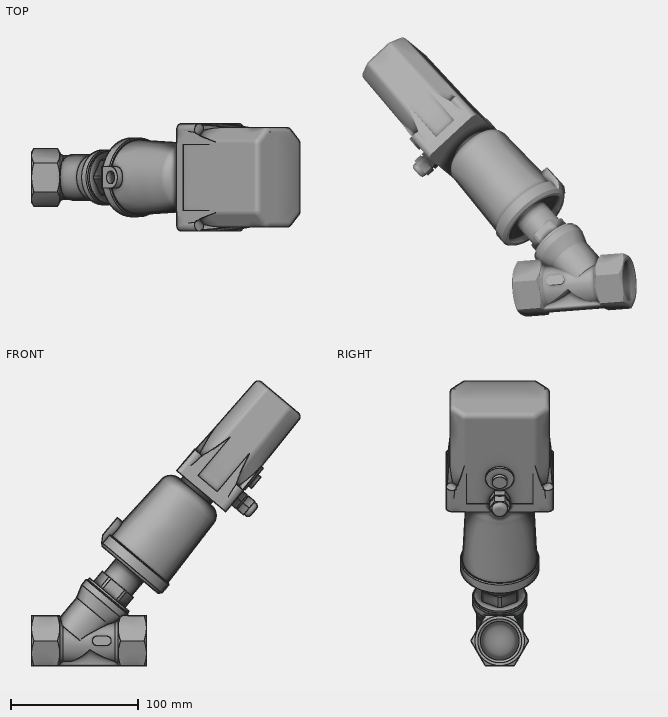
import cadquery as cq
import math


STEM_ANGLE = 50.0
STEM_FOOT_X = 30.5

BODY_LENGTH = 90.1
HEX_FLATS = 39.3
HEX_LENGTH = 22.3
HEX_CHAMFER = 2.0
HEX_END_DIAMETER = 38.8
HEX_END_TAPER = 3.3
CORE_DIAMETER = 34.4
ROOT_DIAMETER = 37.5
ROOT_LENGTH = 2.2
BORE_DIAMETER = 30.3
BORE_DEPTH = HEX_LENGTH
BORE_CHAMFER = 2.0
ARCH_TOP_Z = -7.0
ARCH_X = 45.7
ARCH_LEFT_FOOT = (25.5, -17.2)
ARCH_LEFT_MID = (37.5, -13.4)
ARCH_RIGHT_MID = (54.7, -12.0)
ARCH_RIGHT_FOOT = (64.7, -15.8)
WEB_THICKNESS = 11.2
WEB_EDGE_RADIUS = 1.3
PAD_LENGTH = 14.7
PAD_WIDTH = 7.4
PAD_X = 55.0
PAD_REACH = 19.2
NECK_DIAMETER = 36.1
NECK_START = 5.0
FLARE_START = 29.0
FLARE_END = 39.3
COLLAR_DIAMETER = 43.0
COLLAR_END = 45.5
COLLAR_CHAMFER = 1.0

RING_DIAMETER = 40.5
RING_END = 47.3
NUT_FLATS = 28.8
NUT_CORNER_DIAMETER = 32.0
NUT_END = 57.8
TUBE_DIAMETER = 28.0

FLANGE_START = 72.5
FLANGE_END = 83.9
FLANGE_DIAMETER = 61.8
FLANGE_CHAMFER = 2.2
FLANGE_TOP_CHAMFER = 1.0
RECESS_DIAMETER = 52.0
RECESS_END = 77.5
DOME_BASE_DIAMETER = 58.5
DOME_SHOULDER_DIAMETER = 53.5
DOME_SHOULDER = 141.5
DOME_END = 152.1
DOME_TOP_RADIUS = 17.5
SPIGOT_DIAMETER = 30.3
BOSS_WIDTH = 16.7
BOSS_REACH = 34.0
BOSS_CENTRE = 89.2
BOSS_CHAMFER_END = 79.6
PORT_DIAMETER = 9.8
PORT_DEPTH = 11.2

HEAD_START = 155.5
HEAD_OFFSET = 3.1
HEAD_WIDTH = 84.0
HEAD_DEPTH = 50.2
PLATE_END = 163.3
PLATE_CORNER_RADIUS = 4.7
CASE_WIDTH = 78.0
CASE_BASE_DEPTH = 49.0
CASE_TOP_DEPTH = 45.3
CASE_END = 251.5
CASE_CORNER_CHAMFER = 10.7
CASE_EDGE_RADIUS = 4.5
CASE_TOP_RADIUS = 4.0
POST_END = 177.4
POST_TIP = 205.2
POST_SINK = 0.5
CONE_TIP_RADIUS = 11.2
POST_GAP_WIDTH = 51.8
POST_GAP_DEPTH = 19.6

GLAND_CENTRE = 169.5
GLAND_FLATS = 13.8
GLAND_NECK_DIAMETER = 12.5
GLAND_COLLAR_END = 32.5
GLAND_NUT_START = 34.0
GLAND_NUT_END = 40.4
GLAND_CAP_END = 45.0
GLAND_CAP_RADIUS = 2.7
PLUG_CENTRE = 189.5
PLUG_DISC_DIAMETER = 22.3
PLUG_DISC_END = 28.8
PLUG_KNOB_DIAMETER = 11.5
PLUG_KNOB_CENTRE = 188.3
PLUG_KNOB_END = 32.0

angle = math.radians(STEM_ANGLE)
STEM_FRAME = cq.Plane(
    origin=(STEM_FOOT_X, 0, 0),
    xDir=(math.sin(angle), 0, -math.cos(angle)),
    normal=(math.cos(angle), 0, math.sin(angle)),
)


def on_stem(shape):
    """Move a shape built along local z onto the stem axis."""
    return shape.newObject([shape.val().moved(cq.Location(STEM_FRAME))])


def disc(diameter, start, end):
    return cq.Workplane("XY").workplane(offset=start).circle(diameter / 2).extrude(end - start)


def slab(depth, width, start, end):
    return cq.Workplane("XY").workplane(offset=start).rect(depth, width).extrude(end - start)


def across_corners(flats):
    return flats / math.cos(math.pi / 6)


def hex_end(start):
    """Hexagonal pipe end along X with both ends turned down to a cone."""
    end = start + HEX_LENGTH
    end_radius = HEX_END_DIAMETER / 2
    full_radius = end_radius + HEX_END_TAPER
    prism = (
        cq.Workplane("YZ").workplane(offset=start)
        .polygon(6, across_corners(HEX_FLATS)).extrude(HEX_LENGTH)
    )
    turned = (
        cq.Workplane("XZ")
        .moveTo(start, 0)
        .lineTo(start, end_radius)
        .lineTo(start + HEX_CHAMFER, full_radius)
        .lineTo(end - HEX_CHAMFER, full_radius)
        .lineTo(end, end_radius)
        .lineTo(end, 0)
        .close()
        .revolve(360, (0, 0, 0), (1, 0, 0))
    )
    return prism.intersect(turned)


def core_root(hex_face, direction):
    """Cone that blends a hexagonal end into the round core."""
    return (
        cq.Workplane("YZ").workplane(offset=hex_face).circle(ROOT_DIAMETER / 2)
        .workplane(offset=direction * ROOT_LENGTH).circle(CORE_DIAMETER / 2)
        .loft(ruled=True)
    )


def valve_core():
    """Round core, arched below on both sides of a flat web."""
    left = HEX_LENGTH
    right = BODY_LENGTH - HEX_LENGTH
    length = right - left
    depth = HEX_FLATS / 2
    core = cq.Workplane("YZ").workplane(offset=left).circle(CORE_DIAMETER / 2).extrude(length)
    arch = (
        cq.Workplane("XZ")
        .moveTo(ARCH_LEFT_FOOT[0], -depth)
        .lineTo(*ARCH_LEFT_FOOT)
        .threePointArc(ARCH_LEFT_MID, (ARCH_X, ARCH_TOP_Z))
        .threePointArc(ARCH_RIGHT_MID, ARCH_RIGHT_FOOT)
        .lineTo(ARCH_RIGHT_FOOT[0], -depth)
        .close()
        .extrude(depth, both=True)
    )
    web = (
        cq.Workplane("XY").box(length, WEB_THICKNESS, depth, centered=(False, True, False))
        .edges("|X and <Z").fillet(WEB_EDGE_RADIUS)
        .translate((left, 0, -depth))
    )
    return core.cut(arch).union(web).union(core_root(left, 1)).union(core_root(right, -1))


def valve_neck():
    neck_radius = NECK_DIAMETER / 2
    collar_radius = COLLAR_DIAMETER / 2
    neck = (
        cq.Workplane("XZ")
        .moveTo(0, NECK_START)
        .lineTo(neck_radius, NECK_START)
        .lineTo(neck_radius, FLARE_START)
        .lineTo(collar_radius, FLARE_END)
        .lineTo(collar_radius, COLLAR_END - COLLAR_CHAMFER)
        .lineTo(collar_radius - COLLAR_CHAMFER, COLLAR_END)
        .lineTo(0, COLLAR_END)
        .close()
        .revolve(360, (0, 0, 0), (0, 1, 0))
    )
    return on_stem(neck)


def port_bore():
    radius = BORE_DIAMETER / 2
    return (
        cq.Workplane("XZ")
        .lineTo(0, radius + BORE_CHAMFER)
        .lineTo(BORE_CHAMFER, radius)
        .lineTo(BORE_DEPTH, radius)
        .lineTo(BORE_DEPTH, 0)
        .close()
        .revolve(360, (0, 0, 0), (1, 0, 0))
    )


def make_valve_body():
    side_pads = (
        cq.Workplane("XZ").center(PAD_X, 0)
        .slot2D(PAD_LENGTH, PAD_WIDTH).extrude(PAD_REACH, both=True)
    )
    inlet_bore = port_bore()
    outlet_bore = inlet_bore.mirror("YZ").translate((BODY_LENGTH, 0, 0))
    return (
        valve_core()
        .union(hex_end(0))
        .union(hex_end(BODY_LENGTH - HEX_LENGTH))
        .union(valve_neck())
        .union(side_pads)
        .cut(inlet_bore)
        .cut(outlet_bore)
    )


def make_bonnet():
    """Seating ring, hexagon with turned corners, and stem tube."""
    nut = (
        cq.Workplane("XY").workplane(offset=COLLAR_END)
        .polygon(6, across_corners(NUT_FLATS)).extrude(NUT_END - COLLAR_END)
        .intersect(disc(NUT_CORNER_DIAMETER, COLLAR_END, NUT_END))
    )
    ring = disc(RING_DIAMETER, COLLAR_END, RING_END)
    tube = disc(TUBE_DIAMETER, COLLAR_END, RECESS_END)
    return on_stem(ring.union(nut).union(tube))


def actuator_shell():
    """Flange, tapered barrel with a rounded shoulder, and spigot, turned as one."""
    flange_radius = FLANGE_DIAMETER / 2
    shoulder_radius = DOME_SHOULDER_DIAMETER / 2
    spigot_radius = SPIGOT_DIAMETER / 2
    shoulder_span = shoulder_radius - DOME_TOP_RADIUS
    shoulder_rise = DOME_END - DOME_SHOULDER
    half_way = math.sqrt(0.5)
    shoulder_mid = (
        DOME_TOP_RADIUS + half_way * shoulder_span,
        DOME_SHOULDER + half_way * shoulder_rise,
    )
    return (
        cq.Workplane("XZ")
        .moveTo(0, FLANGE_START)
        .lineTo(flange_radius - FLANGE_CHAMFER, FLANGE_START)
        .lineTo(flange_radius, FLANGE_START + FLANGE_CHAMFER)
        .lineTo(flange_radius, FLANGE_END - FLANGE_TOP_CHAMFER)
        .lineTo(flange_radius - FLANGE_TOP_CHAMFER, FLANGE_END)
        .lineTo(DOME_BASE_DIAMETER / 2, FLANGE_END)
        .lineTo(shoulder_radius, DOME_SHOULDER)
        .threePointArc(shoulder_mid, (DOME_TOP_RADIUS, DOME_END))
        .lineTo(spigot_radius, DOME_END)
        .lineTo(spigot_radius, HEAD_START)
        .lineTo(0, HEAD_START)
        .close()
        .revolve(360, (0, 0, 0), (0, 1, 0))
    )


def port_boss():
    """Round-topped boss that stands out from the flange toward local -x."""
    half_width = BOSS_WIDTH / 2
    base = FLANGE_START + FLANGE_CHAMFER
    boss = (
        cq.Workplane("YZ")
        .moveTo(-half_width, base)
        .lineTo(-half_width, BOSS_CENTRE)
        .threePointArc((0, BOSS_CENTRE + half_width), (half_width, BOSS_CENTRE))
        .lineTo(half_width, base)
        .close()
        .extrude(-BOSS_REACH)
    )
    underside = (
        cq.Workplane("XZ")
        .moveTo(-FLANGE_DIAMETER / 2, base)
        .lineTo(-BOSS_REACH, base)
        .lineTo(-BOSS_REACH, BOSS_CHAMFER_END)
        .close()
        .extrude(BOSS_WIDTH, both=True)
    )
    return boss.cut(underside)


def make_actuator():
    recess = disc(RECESS_DIAMETER, FLANGE_START, RECESS_END)
    port = (
        cq.Workplane("YZ").workplane(offset=-BOSS_REACH)
        .center(0, BOSS_CENTRE).circle(PORT_DIAMETER / 2).extrude(PORT_DEPTH)
    )
    return on_stem(actuator_shell().union(port_boss()).cut(recess).cut(port))


def head_case():
    """Cover that narrows toward its top, with chamfered and rounded corners."""
    base_half = CASE_BASE_DEPTH / 2
    top_half = CASE_TOP_DEPTH / 2
    cover = (
        cq.Workplane("XZ")
        .moveTo(-base_half, PLATE_END)
        .lineTo(base_half, PLATE_END)
        .lineTo(top_half, CASE_END)
        .lineTo(-top_half, CASE_END)
        .close()
        .extrude(CASE_WIDTH / 2, both=True)
    )
    long_edges = cq.selectors.BoxSelector(
        (-CASE_WIDTH, -CASE_WIDTH, PLATE_END + 2.2), (CASE_WIDTH, CASE_WIDTH, CASE_END - 2.2)
    )
    return (
        cover.edges(long_edges).chamfer(CASE_CORNER_CHAMFER)
        .edges(long_edges).fillet(CASE_EDGE_RADIUS)
        .faces(">Z").edges().fillet(CASE_TOP_RADIUS)
    )


def at_screws(height):
    """Workplane at a height with a point on each of the four screw axes."""
    inset = 2 * PLATE_CORNER_RADIUS
    return (
        cq.Workplane("XY").workplane(offset=height)
        .rect(HEAD_DEPTH - inset, HEAD_WIDTH - inset, forConstruction=True).vertices()
    )


def corner_posts():
    """Four leaning corner posts with screw columns, opened above the screws by cones."""
    inset = 2 * PLATE_CORNER_RADIUS
    slope = (CASE_TOP_DEPTH - CASE_BASE_DEPTH) / (CASE_END - PLATE_END)
    tip_depth = CASE_BASE_DEPTH + slope * (POST_TIP - PLATE_END)
    height = POST_TIP - PLATE_END
    leaning_block = (
        cq.Workplane("XY").workplane(offset=PLATE_END).rect(HEAD_DEPTH, HEAD_WIDTH)
        .workplane(offset=height).rect(tip_depth - POST_SINK, CASE_WIDTH - POST_SINK)
        .loft(ruled=True)
    )
    cross = slab(HEAD_DEPTH, HEAD_WIDTH - inset, PLATE_END, POST_TIP).union(
        slab(HEAD_DEPTH - inset, HEAD_WIDTH, PLATE_END, POST_TIP)
    )
    posts = (
        leaning_block.intersect(cross)
        .cut(slab(POST_GAP_DEPTH, 2 * HEAD_WIDTH, PLATE_END, POST_TIP))
        .cut(slab(2 * HEAD_DEPTH, POST_GAP_WIDTH, PLATE_END, POST_TIP))
    )
    columns = at_screws(PLATE_END).circle(PLATE_CORNER_RADIUS).extrude(POST_END - PLATE_END)
    cone_height = POST_TIP - POST_END
    cone_angle = math.degrees(math.atan((CONE_TIP_RADIUS - PLATE_CORNER_RADIUS) / cone_height))
    cones = at_screws(POST_END).circle(PLATE_CORNER_RADIUS).extrude(cone_height, taper=-cone_angle)
    return posts.union(columns).cut(cones)


def side_round(diameter, centre, end):
    """Cylinder from inside the head out toward local +x."""
    return cq.Workplane("YZ").center(0, centre).circle(diameter / 2).extrude(end)


def side_hexagon(start, end):
    return (
        cq.Workplane("YZ").workplane(offset=start).center(0, GLAND_CENTRE)
        .polygon(6, across_corners(GLAND_FLATS)).extrude(end - start)
    )


def cable_gland():
    cap = side_round(GLAND_NECK_DIAMETER, GLAND_CENTRE, GLAND_CAP_END)
    return (
        cap.faces(">X").edges().fillet(GLAND_CAP_RADIUS)
        .union(side_hexagon(0, GLAND_COLLAR_END))
        .union(side_hexagon(GLAND_NUT_START, GLAND_NUT_END))
    )


def side_plug():
    knob = side_round(PLUG_KNOB_DIAMETER, PLUG_KNOB_CENTRE, PLUG_KNOB_END)
    return side_round(PLUG_DISC_DIAMETER, PLUG_CENTRE, PLUG_DISC_END).union(knob)


def make_control_head():
    plate = slab(HEAD_DEPTH, HEAD_WIDTH, HEAD_START, PLATE_END).edges("|Z").fillet(PLATE_CORNER_RADIUS)
    housing = plate.union(head_case()).union(corner_posts(), clean=False)
    fittings = cable_gland().union(side_plug())
    return on_stem(housing.translate((HEAD_OFFSET, 0, 0)).union(fittings, clean=False))


valve_body = make_valve_body()
bonnet = make_bonnet()
actuator = make_actuator()
control_head = make_control_head()

result = cq.Compound.makeCompound(
    [valve_body.val(), bonnet.val(), actuator.val(), control_head.val()]
)